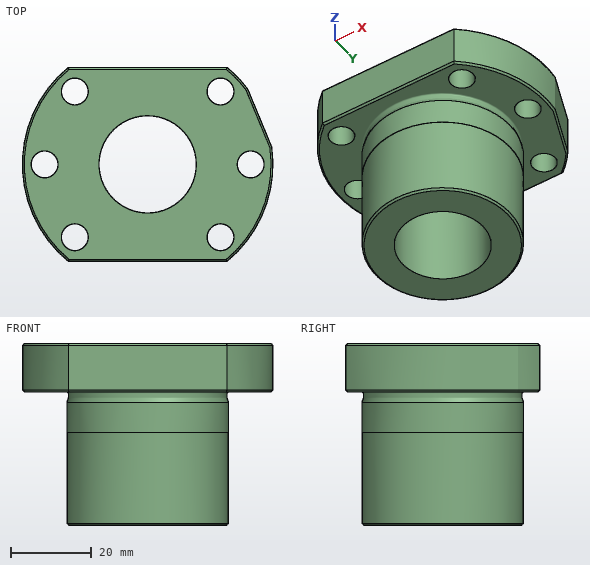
import cadquery as cq

flange_diameter = 62.0
flange_radius = flange_diameter / 2
flange_width = 48.0
flange_thickness = 12.0
total_height = 45.0
edge_chamfer = 0.5

rim_flat_distance = 30.0
rim_flat_angle = 22.5

pilot_radius = 20.0
sleeve_radius = 19.95
pilot_end_depth = 22.0
sleeve_chamfer = 0.5

neck_radius = 19.65
neck_length = 1.5
neck_taper_length = 1.05
neck_fillet = 0.4

bore_diameter = 24.0
bolt_hole_diameter = 6.6
bolt_circle_radius = 25.5
bolt_angles = [0, 45, 135, 180, 225, 315]

flange_bottom = total_height - flange_thickness
neck_bottom = flange_bottom - neck_length
pilot_top = neck_bottom - neck_taper_length
pilot_bottom = total_height - pilot_end_depth


def make_flange():
    """Round flange with two parallel sides, one rim flat and chamfered edges."""
    base = cq.Workplane("XY").workplane(offset=flange_bottom)
    disc = base.circle(flange_radius).extrude(flange_thickness)
    sides = base.rect(flange_diameter, flange_width).extrude(flange_thickness)
    block_length = rim_flat_distance + flange_diameter
    rim_flat = (
        base.center(rim_flat_distance - block_length / 2, 0)
        .rect(block_length, 2 * flange_diameter)
        .extrude(flange_thickness)
        .rotate((0, 0, 0), (0, 0, 1), rim_flat_angle)
    )
    flange = disc.intersect(sides).intersect(rim_flat)
    return flange.faces("<Z or >Z").chamfer(edge_chamfer)


def make_sleeve():
    """Turned sleeve with an end chamfer, a pilot step and a relief neck."""
    profile = [
        (0, 0),
        (sleeve_radius - sleeve_chamfer, 0),
        (sleeve_radius, sleeve_chamfer),
        (sleeve_radius, pilot_bottom),
        (pilot_radius, pilot_bottom),
        (pilot_radius, pilot_top),
        (neck_radius, neck_bottom),
        (neck_radius, flange_bottom),
        (0, flange_bottom),
    ]
    return cq.Workplane("XZ").polyline(profile).close().revolve(360, (0, 0), (0, 1))


def make_holes():
    """Central bore and the flange bolt holes."""
    holes = cq.Workplane("XY").circle(bore_diameter / 2).extrude(total_height)
    for angle in bolt_angles:
        bolt_hole = (
            cq.Workplane("XY", origin=(0, 0, flange_bottom))
            .center(bolt_circle_radius, 0)
            .circle(bolt_hole_diameter / 2)
            .extrude(flange_thickness)
            .rotate((0, 0, 0), (0, 0, 1), angle)
        )
        holes = holes.add(bolt_hole)
    return holes.combine()


def fillet_neck(body):
    """Round the two inner corners at the ends of the relief neck."""
    neck_zone = cq.selectors.BoxSelector(
        (-flange_radius, -flange_radius, neck_bottom - neck_fillet),
        (flange_radius, flange_radius, flange_bottom + neck_fillet),
    )
    neck_edges = body.edges("%CIRCLE").edges(neck_zone).edges(cq.selectors.RadiusNthSelector(0))
    return neck_edges.fillet(neck_fillet)


result = fillet_neck(make_flange().union(make_sleeve())).cut(make_holes())